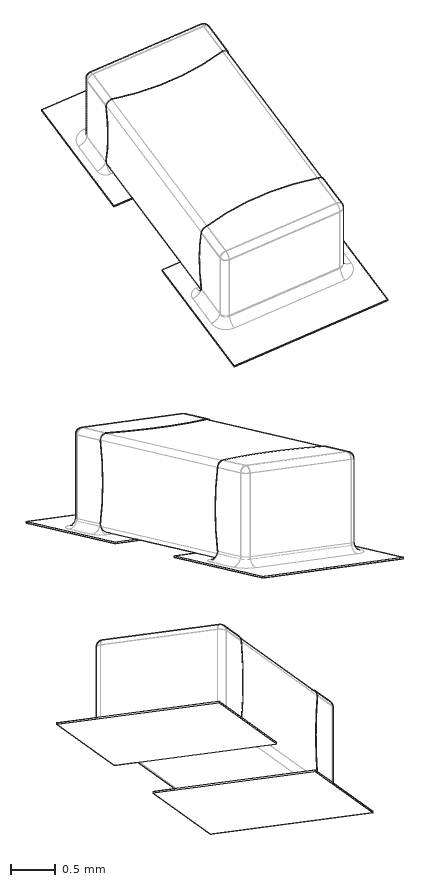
import cadquery as cq

overall_length = 4.4
overall_height = 1.17

pad_length = 1.65
pad_width = 2.0
pad_thickness = 0.02

chip_length = 3.2
chip_width = 1.6
chip_height = overall_height - pad_thickness
corner_radius = 0.08
solder_radius = 0.11

cap_wall = 0.01
lip_radius = cap_wall / 2
cap_length = 0.51
top_bulge = 0.092
side_bulge = 0.045

cap_edge_x = -chip_length / 2 + cap_length


def rounded_block(inset):
    """Chip envelope shrunk by an inset, with every edge rounded concentrically."""
    return (
        cq.Workplane("XY")
        .workplane(offset=pad_thickness + inset)
        .box(
            chip_length - 2 * inset,
            chip_width - 2 * inset,
            chip_height - 2 * inset,
            centered=(True, True, False),
        )
        .edges()
        .fillet(corner_radius - inset)
    )


def soldered_base():
    """Left pad with the cap post standing on it and a concave fillet around the foot."""
    pad = cq.Workplane("XY").box(pad_length, pad_width, pad_thickness, centered=(False, True, False))
    pad = pad.translate((-overall_length / 2, 0, 0))
    post = (
        cq.Workplane("XY")
        .box(cap_length, chip_width, overall_height, centered=(False, True, False))
        .edges("|Z and <X")
        .fillet(corner_radius)
        .edges(">Z except >X")
        .fillet(corner_radius)
        .edges("|Z and >X")
        .fillet(lip_radius)
        .translate((-chip_length / 2, 0, 0))
    )
    margin = pad_thickness / 2
    foot_edges = cq.selectors.BoxSelector(
        (-chip_length / 2 - margin, -chip_width / 2 - margin, pad_thickness - margin),
        (cap_edge_x + margin, chip_width / 2 + margin, pad_thickness + margin),
        boundingbox=True,
    )
    return pad.union(post).edges(foot_edges).fillet(solder_radius)


def bulge(plane, start, end, height, depth):
    """Strip behind the cap edge plus a circular segment bowing toward the chip middle."""
    back_x = cap_edge_x - corner_radius
    middle = (cap_edge_x + height, (start + end) / 2)
    return (
        cq.Workplane(plane)
        .moveTo(back_x, start)
        .lineTo(cap_edge_x, start)
        .threePointArc(middle, (cap_edge_x, end))
        .lineTo(back_x, end)
        .close()
        .extrude(depth, both=True)
    )


def left_terminal(ceramic):
    """Pad, solder fillet and end cap as one solid, hollowed to hold the ceramic."""
    flat_half_width = chip_width / 2 - corner_radius
    top_lip = bulge("XY", -flat_half_width, flat_half_width, top_bulge, overall_height)
    side_bottom = pad_thickness + solder_radius
    side_top = overall_height - corner_radius
    side_lip = bulge("XZ", side_bottom, side_top, side_bulge, chip_width)
    lips = rounded_block(0).intersect(top_lip.union(side_lip))
    return soldered_base().union(lips).cut(ceramic).clean()


ceramic = rounded_block(cap_wall)
terminal = left_terminal(ceramic)
terminals = [terminal.rotate((0, 0, 0), (0, 0, 1), angle).solids().val() for angle in (0, 180)]

result = cq.Compound.makeCompound([ceramic.solids().val(), *terminals])